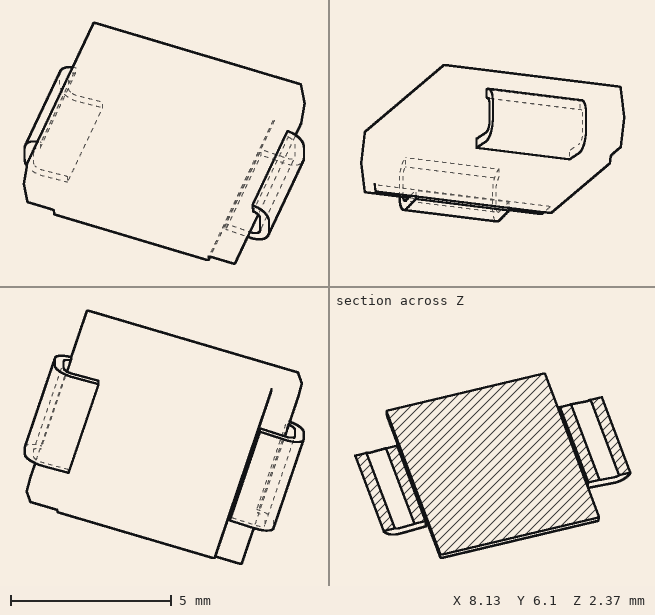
import cadquery as cq
import math

length = 8.13
height = 2.37

body_length = 7.09
body_width = 6.1
parting_z = 1.34
body_bottom_z = 0.105
pad_length = 5.155
step_z = 0.36
draft_angle = 5.0
edge_round = 0.06

lead_width = 3.105
lead_thickness = 0.29
bend_radius = 0.56
upper_bend_z = 1.14
foot_slope = 4.0
foot_end_x = 2.635
lead_embed = 0.41
foot_tip_round = 0.04


def tapered_half(extent):
    """Half of the body from the parting plane, narrowing away from it; negative extent goes down."""
    half = cq.Workplane("XY").rect(body_length, body_width).extrude(abs(extent), taper=draft_angle)
    if extent < 0:
        half = half.mirror("XY")
    return half.translate((0, 0, parting_z))


def make_body():
    """Two drafted halves with a recess under each end and every edge but the parting line rounded."""
    body = tapered_half(height - parting_z).union(tapered_half(body_bottom_z - parting_z))
    recess_length = (length - pad_length) / 2
    recess_height = step_z - body_bottom_z
    for side in (-1, 1):
        recess = cq.Workplane("XY").box(recess_length, length, recess_height).translate(
            (side * (pad_length + recess_length) / 2, 0, body_bottom_z + recess_height / 2)
        )
        body = body.cut(recess)
    parting_edges = cq.selectors.BoxSelector(
        (-length, -length, parting_z - edge_round),
        (length, length, parting_z + edge_round),
    )
    everywhere = cq.selectors.BoxSelector((-length,) * 3, (length,) * 3)
    rounded_edges = body.edges(cq.selectors.SubtractSelector(everywhere, parting_edges))
    return rounded_edges.fillet(edge_round)


def make_lead():
    """C-shaped strip on the +X side: out of the body, down, and back under with a rising foot."""
    bend_x = length / 2 - bend_radius
    inner_radius = bend_radius - lead_thickness
    slope = math.radians(foot_slope)

    def on_bend(center_z, radius, angle):
        return (bend_x + radius * math.cos(angle), center_z + radius * math.sin(angle))

    def foot_end(radius):
        tangent_x, tangent_z = on_bend(bend_radius, radius, foot_angle)
        return (foot_end_x, tangent_z + (tangent_x - foot_end_x) * math.tan(slope))

    foot_angle = -math.pi / 2 - slope
    foot_middle = foot_angle / 2
    upper_middle = math.pi / 4
    straight_top = math.pi / 2
    tip_x, tip_z = foot_end(inner_radius)
    tip_point = (tip_x, 0, tip_z)
    embed_x = bend_x - lead_embed
    return (
        cq.Workplane("XZ")
        .moveTo(embed_x, upper_bend_z + bend_radius)
        .lineTo(*on_bend(upper_bend_z, bend_radius, straight_top))
        .threePointArc(on_bend(upper_bend_z, bend_radius, upper_middle), on_bend(upper_bend_z, bend_radius, 0))
        .lineTo(*on_bend(bend_radius, bend_radius, 0))
        .threePointArc(
            on_bend(bend_radius, bend_radius, foot_middle), on_bend(bend_radius, bend_radius, foot_angle)
        )
        .lineTo(*foot_end(bend_radius))
        .lineTo(*foot_end(inner_radius))
        .lineTo(*on_bend(bend_radius, inner_radius, foot_angle))
        .threePointArc(
            on_bend(bend_radius, inner_radius, foot_middle), on_bend(bend_radius, inner_radius, 0)
        )
        .lineTo(*on_bend(upper_bend_z, inner_radius, 0))
        .threePointArc(
            on_bend(upper_bend_z, inner_radius, upper_middle), on_bend(upper_bend_z, inner_radius, straight_top)
        )
        .lineTo(embed_x, upper_bend_z + inner_radius)
        .close()
        .extrude(lead_width / 2, both=True)
        .edges(cq.selectors.NearestToPointSelector(tip_point))
        .fillet(foot_tip_round)
    )


lead = make_lead()
result = make_body().union(lead).union(lead.mirror("YZ"))